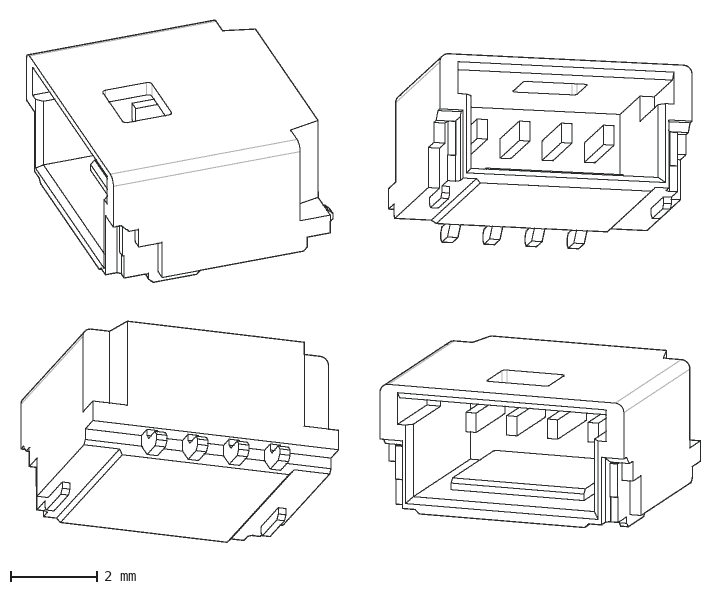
import cadquery as cq


half_width = 3.0
depth = 5.34
top_z = 3.2
side_bottom_z = 0.265
edge_radius = 0.21

sole_z = 0.17
sole_half_width = 2.035
sole_chamfer = side_bottom_z - sole_z

undercut_y = 4.775
undercut_z = 0.625
rear_chamfer_top_z = 0.36

corner_cut_y = 4.595
corner_cut_z = 1.11
corner_cut_front_x = 2.345
corner_cut_rear_x = 2.16

cavity_half_width = 2.225
cavity_floor_z = 0.535
cavity_ceiling_z = 2.86
cavity_depth = 4.1
lead_in = 0.145
ceiling_lead_in = 0.155

keyway_half_width = 2.57
keyway_floor_z = 2.26
keyway_depth = 2.04

step_half_width = 1.63
step_front_y = 1.09
step_top_z = 0.79
step_chamfer = 0.1

window_half_width = 0.76
window_front_y = 1.055
window_rear_y = 2.255
window_radius = 0.095

recess_inner_x = 2.45
recess_top_z = 1.88
recess_depth = 0.385
recess_top_slope = 0.19
recess_side_slope = 0.095

opening_low_y = 1.2
opening_low_z = 1.21
opening_high_y = 0.625
opening_high_z = recess_top_z - recess_top_slope

clip_inner_x = 2.545
clip_outer_x = 2.73
clip_front_y = 0.32
clip_relief_y = 0.36
clip_relief_z = 0.87
clip_top_z = 1.67
clip_foot_front_y = 0.965
clip_foot_rear_y = 2.255
foot_chamfer = 0.11

pin_count = 4
pin_pitch = 1.0
pin_width = 0.25
pin_bottom_z = 1.685
pin_top_z = 2.15
pin_front_y = 2.11
tail_end_y = 5.9
tail_thickness = 0.36
tail_rear_y = 5.195
tail_bend = 0.115
tail_chamfer = 0.115

joint_overlap = 0.12


def box(x0, x1, y0, y1, z0, z1):
    return cq.Workplane("XY").box(x1 - x0, y1 - y0, z1 - z0, centered=False).translate((x0, y0, z0))


def side_profile(points, x0, x1):
    """Extrude a (y, z) outline from x0 to x1."""
    return cq.Workplane("YZ", origin=(x0, 0, 0)).polyline(points).close().extrude(x1 - x0)


def plan_profile(points, z0, z1):
    """Extrude an (x, y) outline from z0 to z1."""
    return cq.Workplane("XY", origin=(0, 0, z0)).polyline(points).close().extrude(z1 - z0)


def with_mirror(solid):
    """Add the mirror image on the other side of the X = 0 plane."""
    return solid.union(solid.mirror("YZ"))


def make_shell_block():
    upper = box(-half_width, half_width, 0, depth, side_bottom_z, top_z)
    upper = upper.edges("|Y and >Z").fillet(edge_radius)
    sole_top_half_width = sole_half_width + sole_chamfer
    sole = (
        cq.Workplane("XZ")
        .moveTo(-sole_top_half_width, side_bottom_z)
        .lineTo(-sole_half_width, sole_z)
        .lineTo(sole_half_width, sole_z)
        .lineTo(sole_top_half_width, side_bottom_z)
        .close()
        .extrude(-depth)
    )
    return upper.union(sole)


def make_undercut():
    chamfer_run = rear_chamfer_top_z - sole_z
    points = [
        (undercut_y - chamfer_run, sole_z),
        (undercut_y, rear_chamfer_top_z),
        (undercut_y, undercut_z),
        (depth, undercut_z),
        (depth, sole_z),
    ]
    return side_profile(points, -half_width, half_width)


def make_corner_cut():
    points = [
        (corner_cut_front_x, corner_cut_y),
        (half_width, corner_cut_y),
        (half_width, depth),
        (corner_cut_rear_x, depth),
    ]
    return plan_profile(points, corner_cut_z, top_z)


def make_cavity():
    main = box(-cavity_half_width, cavity_half_width, 0, cavity_depth, cavity_floor_z, cavity_ceiling_z)
    keyway = box(-keyway_half_width, keyway_half_width, 0, keyway_depth, keyway_floor_z, cavity_ceiling_z)
    ceiling_flare = side_profile(
        [
            (0, keyway_floor_z),
            (0, cavity_ceiling_z + ceiling_lead_in),
            (ceiling_lead_in, cavity_ceiling_z),
            (ceiling_lead_in, keyway_floor_z),
        ],
        -keyway_half_width,
        keyway_half_width,
    )
    mouth_half_width = cavity_half_width + lead_in
    mouth_bottom_z = cavity_floor_z - lead_in
    flare_plan = plan_profile(
        [
            (-mouth_half_width, 0),
            (mouth_half_width, 0),
            (cavity_half_width, lead_in),
            (-cavity_half_width, lead_in),
        ],
        mouth_bottom_z,
        keyway_floor_z,
    )
    flare_side = side_profile(
        [
            (0, mouth_bottom_z),
            (lead_in, cavity_floor_z),
            (lead_in, keyway_floor_z),
            (0, keyway_floor_z),
        ],
        -mouth_half_width,
        mouth_half_width,
    )
    mouth_flare = flare_plan.intersect(flare_side)
    return main.union(keyway).union(ceiling_flare).union(mouth_flare)


def make_floor_step():
    points = [
        (step_front_y, sole_z),
        (step_front_y, step_top_z - step_chamfer),
        (step_front_y + step_chamfer, step_top_z),
        (cavity_depth + joint_overlap, step_top_z),
        (cavity_depth + joint_overlap, sole_z),
    ]
    return side_profile(points, -step_half_width, step_half_width)


def make_window():
    opening = box(
        -window_half_width, window_half_width, window_front_y, window_rear_y, keyway_floor_z, top_z
    )
    return opening.edges("|Z").fillet(window_radius)


def make_front_recess():
    side = side_profile(
        [
            (0, 0),
            (0, recess_top_z),
            (recess_depth - recess_top_slope, recess_top_z),
            (recess_depth, recess_top_z - recess_top_slope),
            (recess_depth, 0),
        ],
        recess_inner_x,
        half_width,
    )
    plan = plan_profile(
        [
            (recess_inner_x, 0),
            (half_width, 0),
            (half_width, recess_depth),
            (recess_inner_x + recess_side_slope, recess_depth),
            (recess_inner_x, recess_depth - recess_side_slope),
        ],
        0,
        recess_top_z,
    )
    return side.intersect(plan)


def make_clip_opening():
    points = [
        (0, 0),
        (0, opening_high_z),
        (opening_high_y, opening_high_z),
        (opening_high_y, opening_low_z),
        (opening_low_y, opening_low_z),
        (opening_low_y, 0),
    ]
    return side_profile(points, clip_outer_x, half_width)


def make_clip():
    front_tab = box(clip_inner_x, clip_outer_x, clip_front_y, opening_high_y, clip_relief_z, clip_top_z)
    front_plate = box(clip_inner_x, clip_outer_x, clip_relief_y, opening_low_y, side_bottom_z, clip_relief_z)
    foot_top_z = side_bottom_z + joint_overlap
    foot = box(clip_inner_x, clip_outer_x, clip_foot_front_y, clip_foot_rear_y, 0, foot_top_z)
    foot = foot.edges("|X and <Z").chamfer(foot_chamfer)
    return front_tab.union(front_plate).union(foot)


def make_pin(x):
    left = x - pin_width / 2
    right = x + pin_width / 2
    contact = box(left, right, pin_front_y, cavity_depth + joint_overlap, pin_bottom_z, pin_top_z)
    tail = side_profile(
        [
            (undercut_y, undercut_z + joint_overlap),
            (undercut_y, rear_chamfer_top_z),
            (tail_rear_y, 0),
            (tail_end_y - tail_chamfer, 0),
            (tail_end_y, tail_chamfer),
            (tail_end_y, tail_thickness - tail_chamfer),
            (tail_end_y - tail_chamfer, tail_thickness),
            (tail_rear_y + tail_bend, tail_thickness),
            (tail_rear_y, tail_thickness + tail_bend),
            (tail_rear_y, undercut_z + joint_overlap),
        ],
        left,
        right,
    )
    return contact.union(tail)


shell = make_shell_block()
shell = shell.cut(make_undercut())
shell = shell.cut(with_mirror(make_corner_cut()))
shell = shell.cut(make_cavity())
shell = shell.union(make_floor_step())
shell = shell.cut(make_window())
shell = shell.cut(with_mirror(make_front_recess()))
shell = shell.cut(with_mirror(make_clip_opening()))

result = shell.union(with_mirror(make_clip()))
for index in range(pin_count):
    result = result.union(make_pin((index - (pin_count - 1) / 2) * pin_pitch))